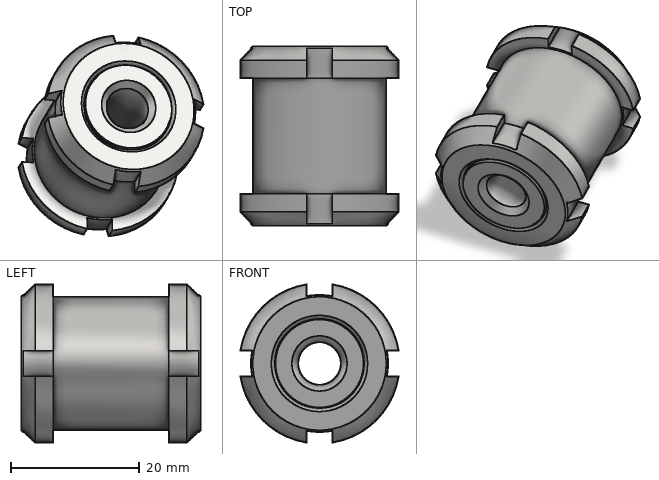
import cadquery as cq

length = 28.0
half_length = length / 2

flange_diameter = 25.0
flange_length = 5.0
body_diameter = 20.8
face_diameter = 20.8
bevel_length = 2.2

slot_count = 4
slot_width = 4.0
slot_floor_diameter = 21.4

core_diameter = 13.7
groove_diameter = 13.92
groove_mouth_diameter = 15.0
groove_mouth_depth = (groove_mouth_diameter - groove_diameter) / 2
groove_depth = 1.0

bore_diameter = 6.6
countersink_diameter = 8.6
countersink_depth = (countersink_diameter - bore_diameter) / 2


def revolve_about_y(points):
    """Revolve a closed (radius, y) outline about the Y axis."""
    return cq.Workplane("XY").polyline(points).close().revolve(360, (0, 0, 0), (0, 1, 0))


def both_ends(cutter):
    """Join an end cutter with its mirror image at the opposite end."""
    return cutter.union(cutter.mirror("XZ"))


def make_blank():
    """Spool with a bevelled flange at each end."""
    face_radius = face_diameter / 2
    flange_radius = flange_diameter / 2
    body_radius = body_diameter / 2
    shoulder = half_length - flange_length
    bevel_start = half_length - bevel_length
    return revolve_about_y([
        (0, -half_length),
        (face_radius, -half_length),
        (flange_radius, -bevel_start),
        (flange_radius, -shoulder),
        (body_radius, -shoulder),
        (body_radius, shoulder),
        (flange_radius, shoulder),
        (flange_radius, bevel_start),
        (face_radius, half_length),
        (0, half_length),
    ])


def make_slots():
    """Slots along Y through both flanges, with a cylindrical floor."""
    bar = cq.Workplane("XY").box(slot_width, length, flange_diameter / 2, centered=(True, True, False))
    slots = bar
    for index in range(1, slot_count):
        slots = slots.union(bar.rotate((0, 0, 0), (0, 1, 0), index * 360 / slot_count))
    floor = cq.Workplane("XZ").circle(slot_floor_diameter / 2).extrude(half_length, both=True)
    return slots.cut(floor)


def make_groove():
    """Narrow ring groove with a bevelled outer lip, at the +Y end."""
    core_radius = core_diameter / 2
    groove_radius = groove_diameter / 2
    floor = half_length - groove_depth
    return revolve_about_y([
        (core_radius, half_length),
        (groove_mouth_diameter / 2, half_length),
        (groove_radius, half_length - groove_mouth_depth),
        (groove_radius, floor),
        (core_radius, floor),
    ])


def make_countersink():
    """Conical bore entry at the +Y end."""
    return revolve_about_y([
        (0, half_length),
        (countersink_diameter / 2, half_length),
        (bore_diameter / 2, half_length - countersink_depth),
        (0, half_length - countersink_depth),
    ])


bore = cq.Workplane("XZ").circle(bore_diameter / 2).extrude(half_length, both=True)

result = make_blank().cut(make_slots())
result = result.cut(both_ends(make_groove()))
result = result.cut(bore).cut(both_ends(make_countersink()))